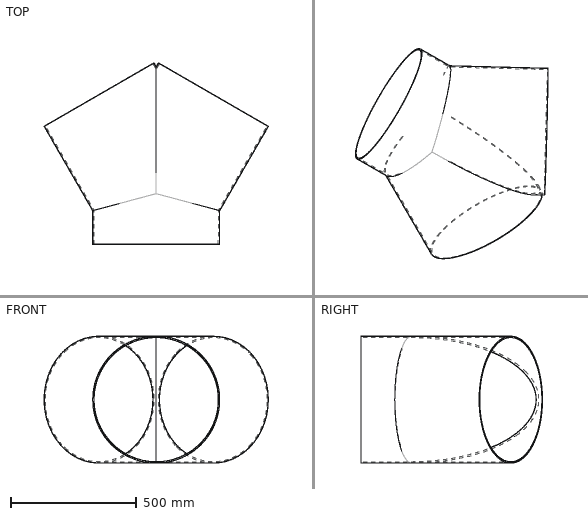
import cadquery as cq
import math

outer_diameter = 508.0
bore_diameter = 496.93
inlet_length = 203.2
branch_length = 457.2
branch_angle = 30.0

inlet_direction = -90.0
right_branch_direction = 90.0 - branch_angle
left_branch_direction = 90.0 + branch_angle

crotch_mitre = 90.0
right_mitre = (inlet_direction + right_branch_direction) / 2
left_mitre = 180.0 - right_mitre

reach = 2 * (branch_length + outer_diameter)


def direction_vector(angle):
    return cq.Vector(math.cos(math.radians(angle)), math.sin(math.radians(angle)), 0)


def mitre_sector(start_angle, end_angle):
    """Tall wedge around the Z axis between two mitre planes."""
    start = direction_vector(start_angle) * reach
    middle = direction_vector((start_angle + end_angle) / 2) * reach
    end = direction_vector(end_angle) * reach
    return (
        cq.Workplane("XY")
        .moveTo(0, 0)
        .lineTo(start.x, start.y)
        .lineTo(middle.x, middle.y)
        .lineTo(end.x, end.y)
        .close()
        .extrude(outer_diameter, both=True)
    )


def mitred_rod(diameter, axis_angle, length, start_angle, end_angle):
    """Solid rod with a square outer end, cut by its two mitre planes at the origin."""
    axis = direction_vector(axis_angle)
    rod = cq.Solid.makeCylinder(diameter / 2, length + reach, axis * -reach, axis)
    return cq.Workplane(obj=rod).intersect(mitre_sector(start_angle, end_angle))


def y_body(diameter):
    """Solid Y made of the inlet rod and the two branch rods."""
    inlet = mitred_rod(diameter, inlet_direction, inlet_length, left_mitre - 360.0, right_mitre)
    right_branch = mitred_rod(
        diameter, right_branch_direction, branch_length, right_mitre, crotch_mitre
    )
    left_branch = mitred_rod(
        diameter, left_branch_direction, branch_length, crotch_mitre, left_mitre
    )
    return inlet.union(right_branch).union(left_branch)


result = y_body(outer_diameter).cut(y_body(bore_diameter))